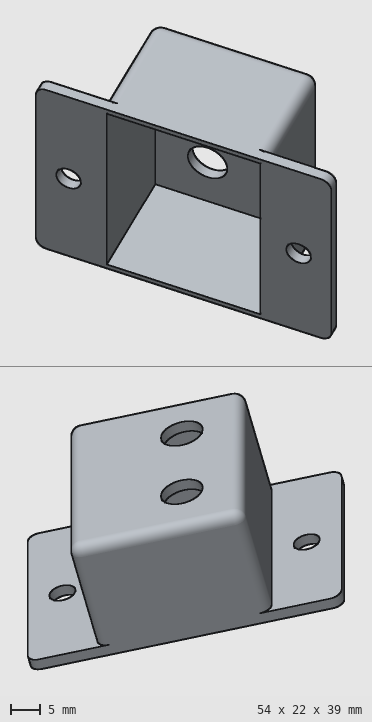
import cadquery as cq

plate_width = 54.0
height = 39.0
plate_thickness = 2.0
corner_radius = 2.0

box_width = 30.0
total_depth = 22.0
side_wall = plate_thickness / 2
back_wall = plate_thickness

screw_hole_diameter = 4.5
screw_hole_spacing = 42.0
screw_hole_z = -0.5

cable_hole_diameter = 7.2
cable_hole_spacing = 18.0
cable_hole_x = -4.5


def block(width, depth, tall):
    """Block centred in X and Z that runs from Y = 0 to Y = depth."""
    return cq.Workplane("XY").box(width, depth, tall, centered=(True, False, True))


def holes(diameter, centres, depth):
    """Cylinders along +Y from the front face at the given (x, z) centres."""
    return cq.Workplane("XZ").pushPoints(centres).circle(diameter / 2).extrude(-depth)


plate = block(plate_width, plate_thickness, height).edges("|Y").fillet(corner_radius)
box = block(box_width, total_depth, height).edges("|Y or >Y").fillet(corner_radius)

cavity = block(box_width - 2 * side_wall, total_depth - back_wall, height - 2 * side_wall)

screw_centres = [(side * screw_hole_spacing / 2, screw_hole_z) for side in (-1, 1)]
screw_holes = holes(screw_hole_diameter, screw_centres, plate_thickness)

cable_centres = [(cable_hole_x, side * cable_hole_spacing / 2) for side in (-1, 1)]
cable_holes = holes(cable_hole_diameter, cable_centres, total_depth)

result = plate.union(box).cut(cavity).cut(screw_holes).cut(cable_holes)